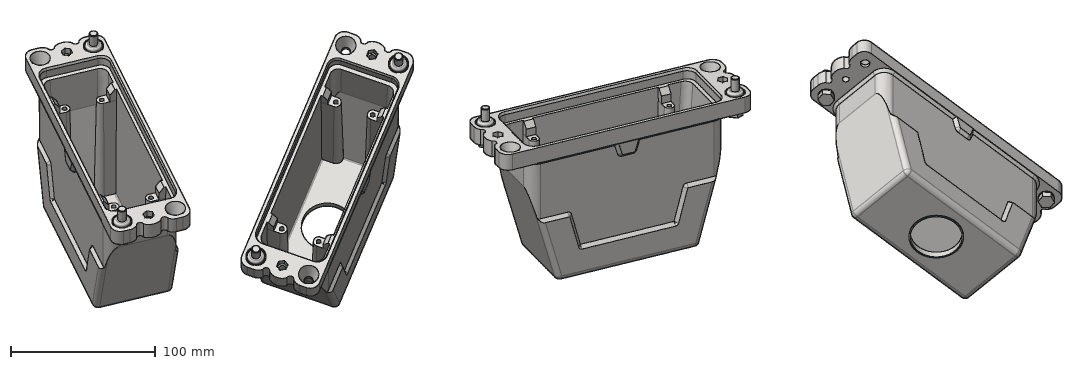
import cadquery as cq
import math


flange_half_x = 96.5
flange_half_y = 28.8
flange_thickness = 12.5
flange_corner_r = 7.0
lobe_r = 10.0
lobe_half_y = 6.4
scallop_outer_y = 11.4
scallop_bottom_x = 92.0
corner_lobe_y = 17.0

hood_half_x = 75.5
hood_half_y = 26.5
hood_corner_r = 8.8
taper_start_z = -35.0
flank_angle = 15.5
bottom_z = -110.6
collar_overhang = 2.0
collar_height = 2.2

band_half_y = 29.0
band_edge_fillet = 4.0
shoulder_fillet = 3.0
band_step = band_half_y - hood_half_y
shoulder_x = 43.5
shoulder_z = -58.5
sill_x = 36.0
sill_z = -86.6

tab_top_half_x = 7.7
tab_bottom_half_x = 4.8
tab_bottom_z = -22.0
tab_corner_fillet = 1.0

rim_half_x = 75.9
rim_half_y = 26.3
rim_corner_r = 7.5
rim_bevel_depth = 2.0
rim_bevel = 0.8
ledge_depth = 8.5
cavity_half_x = 72.0
cavity_half_y = 23.2
cavity_corner_r = 6.0
cavity_taper_half_x = 69.8
cavity_taper_z = -40.0
floor_half_x = 52.8
floor_half_y = 22.0
floor_fillet = 0.8
floor_z = -106.0

entry_r = 17.9
entry_rim_r = 18.9
entry_rim_height = 0.5

boss_x = 52.0
boss_y = 13.6
boss_top_r = 3.7
boss_base_r = 5.3
boss_top_z = -19.0
boss_hole_r = 1.6
boss_hole_depth = 12.0
gusset_tip_y = 18.2
gusset_top_y = 21.9
gusset_drop = 4.5

fastener_x = 86.5
fastener_y = 19.5
clearance_r = 3.2
countersink_r = 7.0
countersink_depth = 10.0
stud_r = 3.0
stud_top_z = 11.6
stud_chamfer = 0.5
washer_r = 6.1
washer_height = 1.9
washer_fillet = 1.8
washer_seat_depth = 1.0
head_across_corners = 11.5
head_turn = 20.6
head_bottom_z = -17.7
head_flange_r = 5.4
head_flange_thickness = 0.7
nut_hole_r = 2.3
nut_across_corners = 7.8
nut_depth = 5.0

overlap = 1.0

cavity_end_slope = (cavity_half_x - cavity_taper_half_x) / (-ledge_depth - cavity_taper_z)
cavity_floor_half_x = cavity_half_x - cavity_end_slope * (-ledge_depth - floor_z)

hood_bottom_half_x = hood_half_x - (taper_start_z - bottom_z) * math.tan(math.radians(flank_angle))


def rounded_slab(half_x, half_y, radius, top_z, depth):
    return (
        cq.Workplane("XY")
        .workplane(offset=top_z - depth)
        .rect(2 * half_x, 2 * half_y)
        .extrude(depth)
        .edges("|Z")
        .fillet(radius)
    )


def cylinder(x, y, radius, bottom, top):
    return cq.Workplane("XY").workplane(offset=bottom).center(x, y).circle(radius).extrude(top - bottom)


def make_flange():
    straight_x = flange_half_x - flange_corner_r
    straight_y = flange_half_y - flange_corner_r
    lobe_x = flange_half_x - lobe_r + math.sqrt(lobe_r**2 - lobe_half_y**2)
    scallop_mid_y = (lobe_half_y + scallop_outer_y) / 2
    quarter = (
        cq.Workplane("XY")
        .lineTo(0, flange_half_y)
        .lineTo(straight_x, flange_half_y)
        .tangentArcPoint((flange_half_x, straight_y), relative=False)
        .lineTo(flange_half_x, corner_lobe_y)
        .tangentArcPoint((lobe_x, scallop_outer_y), relative=False)
        .threePointArc((scallop_bottom_x, scallop_mid_y), (lobe_x, lobe_half_y))
        .radiusArc((flange_half_x, 0), lobe_r)
        .close()
        .extrude(-flange_thickness)
    )
    half = quarter.union(quarter.mirror("XZ"))
    return half.union(half.mirror("YZ"))


def flank_prism(profile, half_y):
    """Prism with a symmetric side outline; profile lists its (half_x, z) from top to bottom."""
    left_side = [(-half_x, z) for half_x, z in reversed(profile)]
    return cq.Workplane("XZ").polyline(profile + left_side).close().extrude(half_y, both=True)


def make_shell_block():
    """Outer shape of the hood at band width, with its lower edges rounded."""
    profile = [
        (hood_half_x, -flange_thickness),
        (hood_half_x, taper_start_z),
        (hood_bottom_half_x, bottom_z),
    ]
    return flank_prism(profile, band_half_y).edges("<Z or (not(|X or |Y or |Z))").fillet(band_edge_fillet)


def make_upper_hood(block):
    column = rounded_slab(
        hood_half_x, hood_half_y, hood_corner_r, -flange_thickness, -flange_thickness - bottom_z
    )
    return column.intersect(block)


def band_relief():
    """Recess above the lower band; its walls spread outward at 45 degrees."""
    outside_x = hood_half_x + 2 * band_step
    right_side = [
        (sill_x, sill_z),
        (shoulder_x, shoulder_z),
        (outside_x, shoulder_z),
        (outside_x, 0),
    ]
    left_side = [(-x, z) for x, z in reversed(right_side)]
    outline = cq.Sketch().polygon(right_side + left_side + right_side[:1])
    for side in (-1, 1):
        corner = (side * shoulder_x, shoulder_z, 0)
        outline = outline.reset().vertices(cq.selectors.NearestToPointSelector(corner))
        outline = outline.fillet(shoulder_fillet)
    plane = cq.Workplane("XZ", origin=(0, -hood_half_y, 0))
    return plane.placeSketch(outline.reset()).extrude(band_step, taper=-45)


def make_band(block):
    height = shoulder_z - bottom_z
    lower_zone = (
        cq.Workplane("XY", origin=(0, 0, bottom_z))
        .rect(2 * hood_half_x, 2 * band_half_y)
        .extrude(height)
    )
    relief = band_relief()
    return block.intersect(lower_zone).cut(relief).cut(relief.mirror("XZ"))


def make_tab():
    """Tab on the -Y side, widening at 45 degrees toward the hood wall."""
    top_z = -flange_thickness
    outline = (
        cq.Sketch()
        .polygon(
            [
                (-tab_top_half_x, top_z),
                (tab_top_half_x, top_z),
                (tab_bottom_half_x, tab_bottom_z),
                (-tab_bottom_half_x, tab_bottom_z),
                (-tab_top_half_x, top_z),
            ]
        )
        .vertices("<Y")
        .fillet(tab_corner_fillet)
    )
    plane = cq.Workplane("XZ", origin=(0, -band_half_y, 0))
    return plane.placeSketch(outline).extrude(-band_step, taper=-45)


def make_collar():
    """Flared transition from the hood up to the flange."""
    flare_angle = math.degrees(math.atan(collar_overhang / collar_height))
    outline = cq.Sketch().rect(
        2 * (hood_half_x + collar_overhang), 2 * (hood_half_y + collar_overhang)
    )
    outline = outline.vertices().fillet(hood_corner_r + collar_overhang)
    plane = cq.Workplane("XY", origin=(0, 0, -flange_thickness))
    return plane.placeSketch(outline).extrude(-collar_height, taper=flare_angle)


def make_rim_recess():
    """Recess in the flange with a bevelled mouth that leaves a ledge around the cavity."""
    bevel_angle = math.degrees(math.atan(rim_bevel / rim_bevel_depth))
    outline = cq.Sketch().rect(2 * rim_half_x, 2 * rim_half_y).vertices().fillet(rim_corner_r)
    mouth = cq.Workplane("XY").placeSketch(outline).extrude(-rim_bevel_depth, taper=bevel_angle)
    well = rounded_slab(
        rim_half_x - rim_bevel, rim_half_y - rim_bevel, rim_corner_r - rim_bevel, 0, ledge_depth
    )
    return mouth.union(well)


def cavity_flanks(growth):
    """Block between the inclined end walls of the cavity, each moved outward by growth."""
    slope = (cavity_taper_half_x - floor_half_x) / (cavity_taper_z - floor_z)
    mouth_half_x = floor_half_x + slope * (-ledge_depth - floor_z)
    profile = [(mouth_half_x + growth, -ledge_depth), (floor_half_x + growth, floor_z)]
    return flank_prism(profile, cavity_half_y + 2 * growth)


def make_cavity():
    steep_walls = (
        cq.Workplane("XY", origin=(0, 0, floor_z))
        .rect(2 * cavity_floor_half_x, 2 * floor_half_y)
        .workplane(offset=-ledge_depth - floor_z)
        .rect(2 * cavity_half_x, 2 * cavity_half_y)
        .loft(ruled=True)
        .edges("not(|X or |Y)")
        .fillet(cavity_corner_r)
    )
    return steep_walls.intersect(cavity_flanks(0)).faces("<Z").edges().fillet(floor_fillet)


def make_boss():
    """One insert boss with its gusset, at +X +Y."""
    column_height = boss_top_z - floor_z
    draft = math.degrees(math.atan((boss_base_r - boss_top_r) / column_height))
    wall_y = cavity_half_y + overlap
    stem = (
        cq.Workplane("XY", origin=(boss_x, boss_y, boss_top_z))
        .circle(boss_top_r)
        .extrude(-column_height, taper=-draft)
    )
    web = (
        cq.Workplane("XY", origin=(boss_x, (boss_y + wall_y) / 2, boss_top_z))
        .rect(2 * boss_top_r, wall_y - boss_y)
        .extrude(-column_height, taper=-draft)
    )
    gusset = (
        cq.Workplane("YZ", origin=(boss_x - boss_top_r, 0, 0))
        .moveTo(gusset_tip_y, boss_top_z)
        .lineTo(gusset_tip_y, -ledge_depth - gusset_drop)
        .lineTo(gusset_top_y, -ledge_depth)
        .lineTo(wall_y, -ledge_depth)
        .lineTo(wall_y, boss_top_z)
        .close()
        .extrude(2 * boss_top_r)
    )
    hole = cylinder(boss_x, boss_y, boss_hole_r, boss_top_z - boss_hole_depth, boss_top_z)
    return stem.union(web).union(gusset).cut(hole).intersect(cavity_flanks(overlap))


def make_screw(x, y):
    washer = cylinder(x, y, washer_r, -washer_seat_depth, washer_height).faces(">Z").edges().fillet(washer_fillet)
    stud = cylinder(x, y, stud_r, head_bottom_z, stud_top_z).faces(">Z").edges().chamfer(stud_chamfer)
    head_flange = cylinder(x, y, head_flange_r, -flange_thickness - head_flange_thickness, -flange_thickness)
    head = (
        cq.Workplane("XY")
        .polygon(6, head_across_corners)
        .extrude(-flange_thickness - head_bottom_z)
        .rotate((0, 0, 0), (0, 0, 1), head_turn)
        .translate((x, y, head_bottom_z))
    )
    return washer.union(stud).union(head_flange).union(head)


def make_countersunk_hole(x, y):
    bore = cylinder(x, y, clearance_r, -flange_thickness, 0)
    sink_angle = math.degrees(math.atan((countersink_r - clearance_r) / countersink_depth))
    sink = cq.Workplane("XY").center(x, y).circle(countersink_r).extrude(-countersink_depth, taper=sink_angle)
    return bore.union(sink)


def make_nut_hole(x):
    bore = cylinder(x, 0, nut_hole_r, -flange_thickness, 0)
    pocket = cq.Workplane("XY").center(x, 0).polygon(6, nut_across_corners).extrude(-nut_depth)
    return bore.union(pocket)


shell_block = make_shell_block()
tab = make_tab()
boss = make_boss()

hood = (
    make_flange()
    .union(make_collar())
    .union(make_upper_hood(shell_block))
    .union(make_band(shell_block))
    .union(tab)
    .union(tab.mirror("XZ"))
    .union(cylinder(0, 0, entry_rim_r, bottom_z - entry_rim_height, bottom_z + overlap))
)
hood = hood.cut(make_cavity())
boss_row = boss.union(boss.mirror("YZ"))
hood = hood.union(boss_row).union(boss_row.mirror("XZ"))
hood = hood.cut(make_rim_recess())
hood = hood.cut(cylinder(0, 0, entry_r, bottom_z - entry_rim_height, floor_z))

for side in (-1, 1):
    hood = hood.cut(make_nut_hole(side * fastener_x))
    hood = hood.cut(make_countersunk_hole(side * fastener_x, side * fastener_y))
    hood = hood.cut(
        cylinder(side * fastener_x, -side * fastener_y, countersink_r, -washer_seat_depth, 0)
    )
    hood = hood.union(make_screw(side * fastener_x, -side * fastener_y))

result = hood